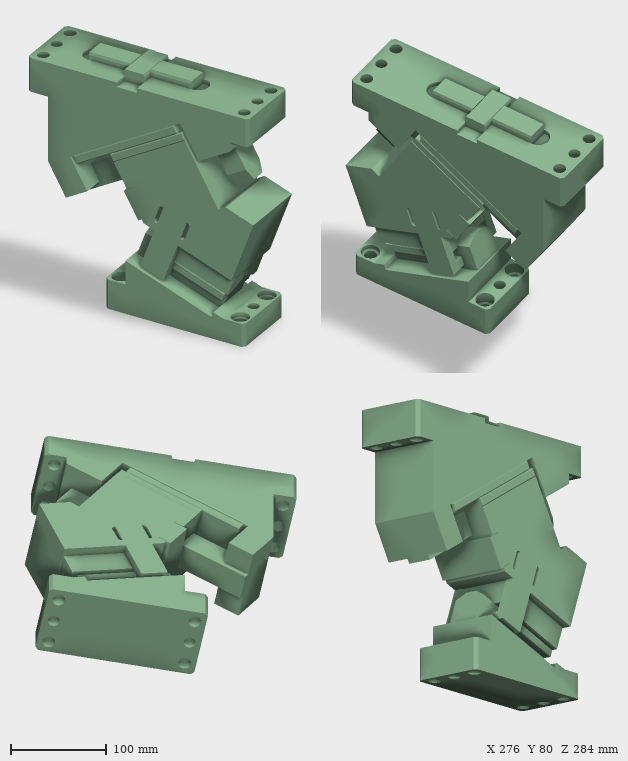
import cadquery as cq
import math


WIDTH = 80.0
CORNER_CHAMFER = 3.5
SCREW_DIA = 13.5
DOWEL_DIA = 12.8
SCREW_Y = 27.5
HOLE_EDGE = 12.2

SLIDE_ANGLE = math.radians(30)
SLIDE_X, SLIDE_Z = 52.3, 169.8
RAIL_ANGLE = math.radians(20)
RAIL_X, RAIL_Z = 119.8, 64.0


def slide_point(s, t):
    """X, Z of a point s along the slide face and t below it."""
    cos_a, sin_a = math.cos(SLIDE_ANGLE), math.sin(SLIDE_ANGLE)
    return (SLIDE_X + s * cos_a + t * sin_a, SLIDE_Z + s * sin_a - t * cos_a)


def rail_point(u, v):
    """X, Z of a point u down the base slope and v above it."""
    cos_a, sin_a = math.cos(RAIL_ANGLE), math.sin(RAIL_ANGLE)
    return (RAIL_X + u * cos_a + v * sin_a, RAIL_Z - u * sin_a + v * cos_a)


def prism(points, width=WIDTH):
    """Solid with an X-Z outline, centred on the plane Y = 0."""
    return cq.Workplane("XZ").polyline(points).close().extrude(width / 2, both=True)


def box_points(frame_point, a0, a1, b0, b1):
    """Corners of a rectangle lined up with one of the two inclined frames."""
    return [frame_point(a0, b0), frame_point(a1, b0), frame_point(a1, b1), frame_point(a0, b1)]


def slide_box(s0, s1, t0, t1, width=WIDTH):
    return prism(box_points(slide_point, s0, s1, t0, t1), width)


def rail_box(u0, u1, v0, v1, width=WIDTH):
    return prism(box_points(rail_point, u0, u1, v0, v1), width)


def side_pair(points, inner, outer):
    """Mirrored pair of solids with one X-Z outline, from |Y| = inner to |Y| = outer."""
    return prism(points, 2 * outer).cut(prism(points, 2 * inner))


def section_bar(section, start, climb, length):
    """Bar with a cross-section of (Y, height) points, running from an X-Z start at a climb angle."""
    along = (math.cos(climb), 0, math.sin(climb))
    plane = cq.Plane(origin=(start[0], 0, start[1]), xDir=(0, 1, 0), normal=along)
    return cq.Workplane(plane).polyline(section).close().extrude(length)


def plate_envelope(x0, x1, height):
    """Full-height block with chamfered vertical corners that trims a mounting plate."""
    block = cq.Workplane("XY").box(x1 - x0, WIDTH, height, centered=(False, True, False))
    return block.edges("|Z").chamfer(CORNER_CHAMFER).translate((x0, 0, 0))


def vertical_holes(x, y_places, diameter, z0, z1):
    spots = cq.Workplane("XY").workplane(offset=z0).pushPoints([(x, y) for y in y_places])
    return spots.circle(diameter / 2).extrude(z1 - z0)


PLATE_JOINT = 10.0
PLATE_BOTTOM = 19.5
PLATE_CHAMFER = 1.0


def wear_plate(s0, s1, t0, t1):
    """Flat plate whose long edges are chamfered on both faces."""
    half = WIDTH / 2
    edge = half - PLATE_CHAMFER
    section = [
        (-edge, t0), (edge, t0), (half, t0 + PLATE_CHAMFER), (half, t1 - PLATE_CHAMFER),
        (edge, t1), (-edge, t1), (-half, t1 - PLATE_CHAMFER), (-half, t0 + PLATE_CHAMFER),
    ]
    return section_bar([(y, -t) for y, t in section], slide_point(s0, 0), SLIDE_ANGLE, s1 - s0)


BAR_WIDTH = 28.5
BAR_TOP = 20.0
BAR_BOTTOM = 47.1

HOLDER_LENGTH = 269.8
HOLDER_TOP = 275.0
KEY_TOP = 284.0
LEFT_FLANGE_Z = 234.3
RIGHT_FLANGE_Z = 241.7
LEFT_STEP_X = 25.0
RIGHT_STEP_X = 246.8
LEFT_LEG_S = -29.8
LEFT_LEG_DEPTH = 41.5
RIGHT_LEG_S = 155.3
RIGHT_LEG_DEPTH = 45.0
HOLDER_PLATE_START = 5.0
HOLDER_PLATE_END = 144.8
STOP_START = 160.7
STOP_END = 186.5
STOP_DEPTH = 89.5
STOP_TAPER_START = 75.3
STOP_TAPER = 5.7
KEY_X = 121.5
KEY_WIDTH = 25.0
LONG_KEY = 125.0
CROSS_KEY = 50.0
KEY_SLOT = 152.2
KEY_SEAT = 269.5
KEY_CHAMFER_DROP = 3.0
KEY_CHAMFER_IN = 1.0


def key(length):
    """Key along X with its two long top edges chamfered."""
    half = KEY_WIDTH / 2
    shoulder = KEY_TOP - KEY_CHAMFER_DROP
    section = [
        (-half, KEY_SEAT), (half, KEY_SEAT), (half, shoulder), (half - KEY_CHAMFER_IN, KEY_TOP),
        (KEY_CHAMFER_IN - half, KEY_TOP), (-half, shoulder),
    ]
    return cq.Workplane("YZ").polyline(section).close().extrude(length / 2, both=True)


def stop_block():
    """Block hanging under the right leg, its lower end tapered on both sides."""
    half = BAR_WIDTH / 2
    section = [
        (-half, -RIGHT_LEG_DEPTH), (half, -RIGHT_LEG_DEPTH), (half, -STOP_TAPER_START),
        (half - STOP_TAPER, -STOP_DEPTH), (STOP_TAPER - half, -STOP_DEPTH), (-half, -STOP_TAPER_START),
    ]
    return section_bar(section, slide_point(STOP_START, 0), SLIDE_ANGLE, STOP_END - STOP_START)


def make_holder():
    left_t = (LEFT_STEP_X - SLIDE_X - LEFT_LEG_S * math.cos(SLIDE_ANGLE)) / math.sin(SLIDE_ANGLE)
    right_s = (RIGHT_STEP_X - SLIDE_X - RIGHT_LEG_DEPTH * math.sin(SLIDE_ANGLE)) / math.cos(SLIDE_ANGLE)
    outline = [
        (0, HOLDER_TOP), (HOLDER_LENGTH, HOLDER_TOP), (HOLDER_LENGTH, RIGHT_FLANGE_Z),
        (RIGHT_STEP_X, RIGHT_FLANGE_Z), slide_point(right_s, RIGHT_LEG_DEPTH),
        slide_point(RIGHT_LEG_S, RIGHT_LEG_DEPTH), slide_point(RIGHT_LEG_S, 0),
        slide_point(0, 0), slide_point(0, LEFT_LEG_DEPTH), slide_point(LEFT_LEG_S, LEFT_LEG_DEPTH),
        slide_point(LEFT_LEG_S, left_t), (LEFT_STEP_X, LEFT_FLANGE_Z), (0, LEFT_FLANGE_Z),
    ]
    body = prism(outline).intersect(plate_envelope(0, HOLDER_LENGTH, KEY_TOP))

    seat_depth = HOLDER_TOP - KEY_SEAT
    top = cq.Workplane("XY").workplane(offset=KEY_SEAT).center(KEY_X, 0)
    body = body.cut(top.slot2D(KEY_SLOT, KEY_WIDTH).extrude(seat_depth))
    body = body.cut(top.rect(KEY_WIDTH, WIDTH).extrude(seat_depth))
    cross = key(CROSS_KEY).rotate((0, 0, 0), (0, 0, 1), 90)
    gap = cq.Workplane("XY").box(KEY_WIDTH, WIDTH, 2 * KEY_TOP)
    keys = key(LONG_KEY).cut(gap).union(cross)
    body = body.union(keys.translate((KEY_X, 0, 0)))

    for x, flange_z in ((HOLE_EDGE, LEFT_FLANGE_Z), (HOLDER_LENGTH - HOLE_EDGE, RIGHT_FLANGE_Z)):
        body = body.cut(vertical_holes(x, (-SCREW_Y, SCREW_Y), SCREW_DIA, flange_z, HOLDER_TOP))
        body = body.cut(vertical_holes(x, (0,), DOWEL_DIA, flange_z, HOLDER_TOP))

    body = body.union(wear_plate(HOLDER_PLATE_START, HOLDER_PLATE_END, 0, PLATE_JOINT))
    body = body.union(slide_box(LEFT_LEG_S, STOP_START, BAR_TOP, BAR_BOTTOM, BAR_WIDTH))
    return body.union(stop_block())


ROOF_FLAT = 6.5
ROOF_TOP = 37.2
FLANGE_HALF = 28.0
FLANGE_TOP = 25.0
FLANGE_BOTTOM = 16.8
NECK_HALF = 19.3
RAIL_START = 2.3
FLANGE_START = 27.0
RAIL_END = 111.5


def rail_section(u0, u1):
    """Rail with a ridged roof and overhanging flanges from u0 to u1."""
    half = [
        (NECK_HALF, 0), (NECK_HALF, FLANGE_BOTTOM), (FLANGE_HALF, FLANGE_BOTTOM),
        (FLANGE_HALF, FLANGE_TOP), (ROOF_FLAT, ROOF_TOP),
    ]
    mirrored = [(-y, v) for y, v in reversed(half)]
    return section_bar(half + mirrored, rail_point(u0, 0), -RAIL_ANGLE, u1 - u0)


BASE_LEFT = 94.9
BASE_RIGHT = 265.0
BASE_FLANGE_LEFT = 35.2
BASE_FLANGE_RIGHT = 27.5
BASE_STEP = 6.8
COUNTERBORE_DIA = 20.5
COUNTERBORE_FLOOR = 22.5


def make_base():
    drop = RAIL_Z + BASE_STEP * math.cos(RAIL_ANGLE) - BASE_FLANGE_RIGHT
    outline = [
        (BASE_LEFT, 0), (BASE_RIGHT, 0), (BASE_RIGHT, BASE_FLANGE_RIGHT),
        rail_point(drop / math.sin(RAIL_ANGLE), BASE_STEP), rail_point(RAIL_END, BASE_STEP),
        rail_point(RAIL_END, 0), (RAIL_X, RAIL_Z), (RAIL_X, BASE_FLANGE_LEFT),
        (BASE_LEFT, BASE_FLANGE_LEFT),
    ]
    body = prism(outline).intersect(plate_envelope(BASE_LEFT, BASE_RIGHT, RAIL_Z))
    nose = rail_section(RAIL_START, FLANGE_START)
    nose = nose.intersect(rail_box(RAIL_START, FLANGE_START, 0, ROOF_TOP, 2 * NECK_HALF))
    body = body.union(nose).union(rail_section(FLANGE_START, RAIL_END))

    screws = (-SCREW_Y, SCREW_Y)
    flanges = (
        (BASE_LEFT + HOLE_EDGE, BASE_FLANGE_LEFT),
        (BASE_RIGHT - HOLE_EDGE, BASE_FLANGE_RIGHT),
    )
    for x, flange_z in flanges:
        body = body.cut(vertical_holes(x, screws, SCREW_DIA, 0, flange_z))
        body = body.cut(vertical_holes(x, screws, COUNTERBORE_DIA, COUNTERBORE_FLOOR, flange_z))
        body = body.cut(vertical_holes(x, (0,), DOWEL_DIA, 0, flange_z))
    return body


SLIDER_FACE_S = 50.3
SLIDER_BACK_S = 150.2
SHOULDER_T = 102.2
SLIDER_PLATE_START = 50.5
SLIDER_PLATE_END = 150.0
TAIL_U = 117.3
TAIL_TOP_V = 134.3
TAIL_TOP_U = 81.5
BODY_BOTTOM_V = 55.7
FRONT_U = 3.5
PAD_S = 45.5
PAD_TOP = 52.3
PAD_BOTTOM = 87.8
PAD_BACK_S = 60.8
PAD_SLIT = 0.9
PAD_SLIT_DEPTH = 1.0
ARM_START = 17.3
ARM_END = 47.5
ARM_BOTTOM = 6.2
CAVITY_HALF = 30.0
LIP_HALF = 20.5
KEEL_START = 18.5
KEEL_END = 116.2
KEEL_BOTTOM = 28.7
GROOVE_HALF = 3.7
GROOVE_TOP = 41.2
POCKET_START = 12.8
POCKET_END = 52.3
POCKET_BOTTOM = 65.0
POCKET_TOP = 88.3
POCKET_RADIUS = 4.0
POCKET_DEPTH = 5.7


def side_pockets():
    """Two slots with rounded outer corners, one beyond each edge of the arm, in both side faces."""
    outline = rail_box(POCKET_START, POCKET_END, POCKET_BOTTOM, POCKET_TOP)
    rounded = outline.edges("|Y").fillet(POCKET_RADIUS)
    slots = rounded.cut(rail_box(ARM_START, ARM_END, POCKET_BOTTOM, POCKET_TOP))
    inner_width = WIDTH - 2 * POCKET_DEPTH
    core = rail_box(POCKET_START, POCKET_END, POCKET_BOTTOM, POCKET_TOP, inner_width)
    return slots.cut(core)


def make_slider():
    outline = [
        slide_point(SLIDER_FACE_S, PLATE_BOTTOM), slide_point(SLIDER_BACK_S, PLATE_BOTTOM),
        slide_point(SLIDER_BACK_S, SHOULDER_T), rail_point(TAIL_TOP_U, TAIL_TOP_V),
        rail_point(TAIL_U, TAIL_TOP_V), rail_point(TAIL_U, BODY_BOTTOM_V),
        rail_point(FRONT_U, BODY_BOTTOM_V),
    ]
    body = prism(outline)
    body = body.union(slide_box(PAD_S, PAD_BACK_S, PAD_TOP, PAD_BOTTOM))
    body = body.union(wear_plate(SLIDER_PLATE_START, SLIDER_PLATE_END, PLATE_JOINT, PLATE_BOTTOM))

    arm = box_points(rail_point, ARM_START, ARM_END, ARM_BOTTOM, BODY_BOTTOM_V)
    lip = box_points(rail_point, ARM_START, ARM_END, ARM_BOTTOM, FLANGE_BOTTOM)
    body = body.union(side_pair(arm, CAVITY_HALF, WIDTH / 2))
    body = body.union(side_pair(lip, LIP_HALF, WIDTH / 2))

    keel = rail_box(KEEL_START, KEEL_END, KEEL_BOTTOM, BODY_BOTTOM_V, 2 * CAVITY_HALF)
    keel = keel.cut(rail_section(RAIL_START, KEEL_END))
    keel = keel.cut(rail_box(KEEL_START, KEEL_END, KEEL_BOTTOM, GROOVE_TOP, 2 * GROOVE_HALF))
    body = body.union(keel)

    body = body.cut(slide_box(0, RIGHT_LEG_S, BAR_TOP, BAR_BOTTOM, BAR_WIDTH))

    for t in (PAD_TOP, PAD_BOTTOM):
        slit = box_points(slide_point, SLIDER_FACE_S, PAD_BACK_S, t - PAD_SLIT, t)
        body = body.cut(side_pair(slit, WIDTH / 2 - PAD_SLIT_DEPTH, WIDTH / 2))
    return body.cut(side_pockets())


holder = make_holder().solids()
slider = make_slider().solids()
base = make_base().solids()

result = cq.Compound.makeCompound([holder.val(), slider.val(), base.val()])